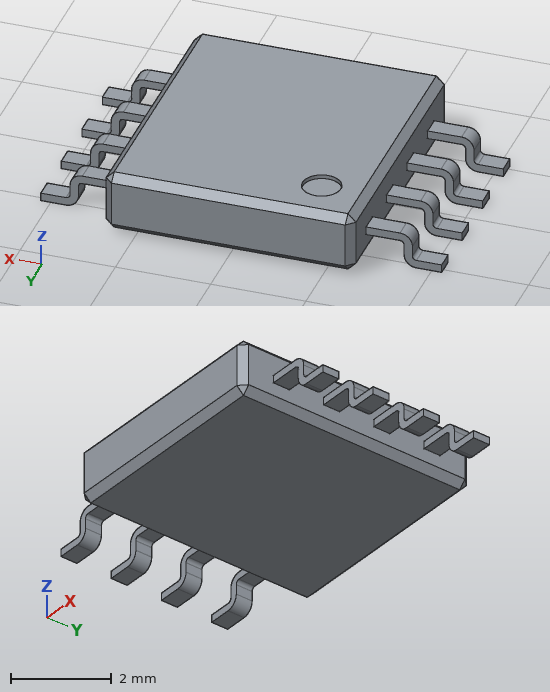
import cadquery as cq

overall_length = 8.42
overall_height = 1.4

housing_length = 5.245
housing_width = 5.81
standoff = 0.1
housing_chamfer = 0.17
housing_height = overall_height - standoff

lead_count = 4
lead_pitch = 1.27
lead_width = 0.4
lead_thickness = 0.18
lead_top_height = 0.75
leg_outset = 0.615
bend_inner_radius = 0.08
bend_outer_radius = bend_inner_radius + lead_thickness

marker_diameter = 0.8
marker_inset = 1.0
marker_thickness = 0.1
marker_sink = 0.08


def make_lead(y):
    """One gull-wing strip with a foot at each end, centred on the given Y."""
    tip_x = overall_length / 2
    leg_outer_x = tip_x - leg_outset
    leg_inner_x = leg_outer_x - lead_thickness
    strap_bottom = lead_top_height - lead_thickness

    foot_bar = (
        cq.Workplane("XZ")
        .moveTo(0, strap_bottom)
        .lineTo(leg_inner_x, strap_bottom)
        .lineTo(leg_inner_x, 0)
        .lineTo(tip_x, 0)
        .lineTo(tip_x, lead_thickness)
        .lineTo(leg_outer_x, lead_thickness)
        .lineTo(leg_outer_x, lead_top_height)
        .lineTo(0, lead_top_height)
        .close()
        .extrude(lead_width / 2, both=True)
    )

    inner_corners = [(leg_inner_x, strap_bottom), (leg_outer_x, lead_thickness)]
    outer_corners = [(leg_inner_x, 0), (leg_outer_x, lead_top_height)]
    half_lead = foot_bar
    for corners, radius in ((inner_corners, bend_inner_radius), (outer_corners, bend_outer_radius)):
        for x, z in corners:
            half_lead = half_lead.edges(cq.selectors.NearestToPointSelector((x, 0, z))).fillet(radius)

    return half_lead.union(half_lead.mirror("YZ")).clean().translate((0, y, 0))


def make_marker_cylinder(top_z, height):
    """Upright cylinder on the marker axis, reaching down from top_z."""
    marker_x = marker_inset - housing_length / 2
    marker_y = housing_width / 2 - marker_inset
    return (
        cq.Workplane("XY", origin=(marker_x, marker_y, top_z - height))
        .circle(marker_diameter / 2)
        .extrude(height)
    )


def make_housing(leads):
    """Box chamfered on every edge, with the marker recess and a slot for each lead."""
    housing = (
        cq.Workplane("XY", origin=(0, 0, standoff))
        .box(housing_length, housing_width, housing_height, centered=(True, True, False))
        .edges()
        .chamfer(housing_chamfer)
        .cut(make_marker_cylinder(overall_height, marker_sink + marker_thickness))
    )
    for lead in leads:
        housing = housing.cut(lead)
    return housing


first_lead_y = -lead_pitch * (lead_count - 1) / 2
leads = [make_lead(first_lead_y + i * lead_pitch) for i in range(lead_count)]
marker = make_marker_cylinder(overall_height - marker_sink, marker_thickness)
housing = make_housing(leads)

result = cq.Compound.makeCompound([housing.val(), marker.val(), *[lead.val() for lead in leads]])